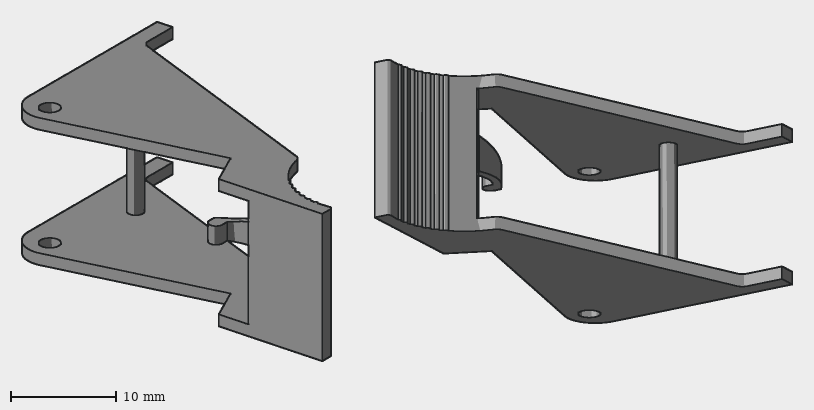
import cadquery as cq
import math

length = 37.5
height = 23.32
width = 15.6
plate_thickness = 1.28
inner_width = width - 2 * plate_thickness

corner_radius = 3.08
corner_y = 3.15
notch_x = 23.32
notch_y = 4.25
foot_x = 25.12
tab_width = 1.88
tab_base_y = 18.82
shoulder_x = 28.42
shoulder_y = 8.2
shoulder_radius = 0.9
tab_fillet = 0.95
grip_start = (28.85, 6.68)
grip_middle = (30.9, 3.52)
grip_end = (35.95, 1.58)
tip_height = 1.65
tip_radius = 0.35

ridge_count = 7
ridge_radius = 0.3
ridge_pitch = 0.9
ridge_sink = 0.15

web_x = 28.7
web_height = 6.15

hole_x = 3.08
hole_y = 2.48
hole_diameter = 2.15
pin_x = 5.45
pin_y = 12.82
pin_diameter = 1.72

hook_left = 21.45
hook_tip_width = 1.55
hook_bottom = 2.62
hook_tip_radius = hook_tip_width / 2
hook_right = hook_left + hook_tip_width
hook_shoulder_y = 4.12
hook_top = 6.35
hook_back_middle = (23.95, 5.55)
hook_inner_middle = (24.95, 5.02)
hook_root_bottom = 4.4
hook_fillet_x = 27.7
hook_fillet_y = 5.25
hook_tip_depth = 2.0
hook_root_depth = 3.52
hook_embed = 0.2


def circle_through(a, b, c):
    """Centre and radius of the circle through three points."""
    (ax, ay), (bx, by), (cx, cy) = a, b, c
    a_sq = ax**2 + ay**2
    b_sq = bx**2 + by**2
    c_sq = cx**2 + cy**2
    d = 2 * (ax * (by - cy) + bx * (cy - ay) + cx * (ay - by))
    x = (a_sq * (by - cy) + b_sq * (cy - ay) + c_sq * (ay - by)) / d
    y = (a_sq * (cx - bx) + b_sq * (ax - cx) + c_sq * (bx - ax)) / d
    return x, y, math.hypot(ax - x, ay - y)


def extrude_centred(sketch, depth):
    return sketch.extrude(depth / 2, both=True)


def make_profile():
    """Full-width solid of the side outline."""
    dx = notch_x - corner_radius
    dy = notch_y - corner_y
    slope = math.atan2(dy, dx) + math.asin(corner_radius / math.hypot(dx, dy))
    tangent = (
        corner_radius + corner_radius * math.sin(slope),
        corner_y - corner_radius * math.cos(slope),
    )
    diagonal = corner_radius * math.sqrt(0.5)
    corner_middle = (corner_radius - diagonal, corner_y - diagonal)
    outline = (
        cq.Workplane("XY")
        .moveTo(0, height)
        .lineTo(0, corner_y)
        .threePointArc(corner_middle, tangent)
        .lineTo(notch_x, notch_y)
        .lineTo(foot_x, 0)
        .lineTo(length, 0)
        .lineTo(length, tip_height)
        .lineTo(*grip_end)
        .threePointArc(grip_middle, grip_start)
        .lineTo(shoulder_x, shoulder_y)
        .lineTo(tab_width, tab_base_y)
        .lineTo(tab_width, height)
        .close()
    )
    body = extrude_centred(outline, width)
    for x, y, radius in (
        (length, tip_height, tip_radius),
        (shoulder_x, shoulder_y, shoulder_radius),
        (tab_width, tab_base_y, tab_fillet),
    ):
        body = body.edges(cq.selectors.NearestToPointSelector((x, y, 0))).fillet(radius)
    return body


def make_ridges():
    """Round ridges evenly spaced along the grip, ending at the tip."""
    x, y, radius = circle_through(grip_start, grip_middle, grip_end)
    end_angle = math.atan2(grip_end[1] - y, grip_end[0] - x)
    path_radius = radius + ridge_sink
    centres = []
    for i in range(ridge_count):
        angle = end_angle - (i + 0.5) * ridge_pitch / radius
        centres.append((x + path_radius * math.cos(angle), y + path_radius * math.sin(angle)))
    ridges = cq.Workplane("XY").pushPoints(centres).circle(ridge_radius)
    return extrude_centred(ridges, width)


def make_gap():
    """Space between the plates, leaving the web at the grip end."""
    side = cq.Workplane("XY").rect(web_x, height, centered=False)
    above = (
        cq.Workplane("XY")
        .moveTo(0, web_height)
        .rect(length, height - web_height, centered=False)
    )
    return extrude_centred(side, inner_width).union(extrude_centred(above, inner_width))


def make_hook():
    """Curved finger that narrows from the web to its rounded tip."""
    root_x = web_x + hook_embed
    tip_y = hook_bottom + hook_tip_radius
    fillet_size = web_x - hook_fillet_x
    fillet_height = hook_fillet_y - hook_root_bottom
    bend = 1 - math.sqrt(0.5)
    side = extrude_centred(
        cq.Workplane("XY")
        .moveTo(hook_left, tip_y)
        .threePointArc((hook_left + hook_tip_radius, hook_bottom), (hook_right, tip_y))
        .lineTo(hook_right, hook_shoulder_y)
        .threePointArc(hook_inner_middle, (hook_fillet_x, hook_fillet_y))
        .threePointArc(
            (web_x - fillet_size * bend, hook_fillet_y - fillet_height * bend),
            (web_x, hook_root_bottom),
        )
        .lineTo(root_x, hook_root_bottom)
        .lineTo(root_x, hook_top)
        .lineTo(web_x, hook_top)
        .threePointArc(hook_back_middle, (hook_left, hook_shoulder_y))
        .close(),
        hook_root_depth,
    )
    tip = hook_tip_depth / 2
    root = hook_root_depth / 2
    taper = (
        cq.Workplane("XZ")
        .polyline([
            (hook_left, -tip), (hook_right, -tip), (web_x, -root), (root_x, -root),
            (root_x, root), (web_x, root), (hook_right, tip), (hook_left, tip),
        ])
        .close()
        .extrude(-height)
    )
    return side.intersect(taper)


pin = extrude_centred(
    cq.Workplane("XY").center(pin_x, pin_y).circle(pin_diameter / 2), inner_width + plate_thickness
)
holes = extrude_centred(
    cq.Workplane("XY").center(hole_x, hole_y).circle(hole_diameter / 2), width
)
frame = make_profile().union(make_ridges()).cut(make_gap()).cut(holes)
result = frame.union(pin).union(make_hook())